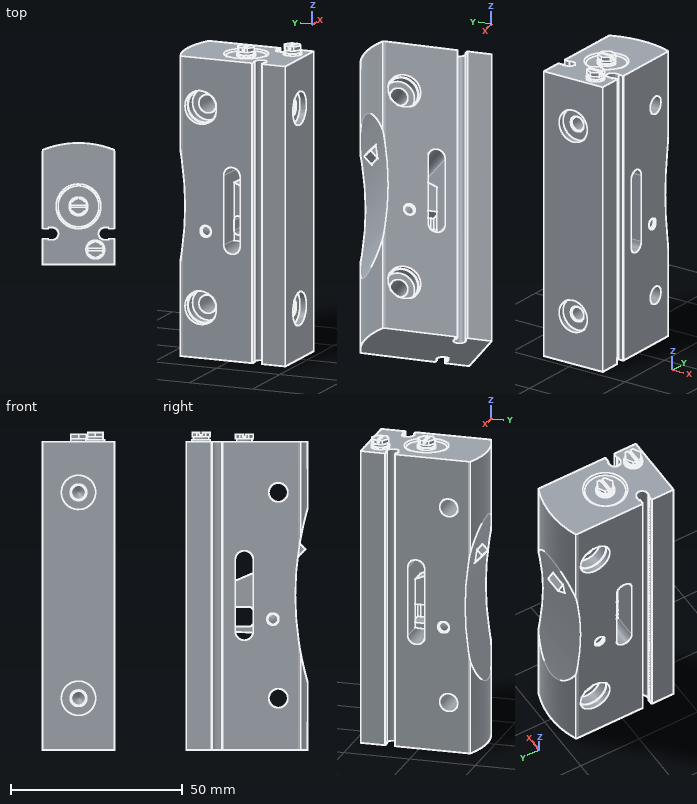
import cadquery as cq
import math

WIDTH = 21.0
DEPTH = 35.4
TOTAL_HEIGHT = 92.5
HALF_WIDTH = WIDTH / 2
CROWN_RISE = 2.0
EDGE_BEVEL_X = 0.1
EDGE_BEVEL_Y = 0.6

RELIEF_DEPTH = 3.6
RELIEF_RADIUS = 90.65
RELIEF_Z = 45.05

GROOVE_Y = 9.0
GROOVE_MOUTH_WIDTH = 2.9
GROOVE_MOUTH_BEVEL = 0.2
GROOVE_MOUTH_DEPTH = 1.8
GROOVE_WIDTH = 3.5
GROOVE_DEPTH = 4.6

HOLE_LEVELS = (15.1, 75.0)
SIDE_HOLE_Y = 26.8
SIDE_HOLE_DIAMETER = 5.5
SIDE_BORE_DIAMETER = 9.5
SIDE_BORE_DEPTH = 5.0
SIDE_MOUTH_DIAMETER = 10.0
SIDE_MOUTH_DEPTH = 1.85

BACK_BORE_DIAMETER = 10.0
BACK_BORE_DEPTH = 2.0
BACK_HOLE_DIAMETER = 4.2
BACK_HOLE_MOUTH = 4.8
BACK_HOLE_DEPTH = 7.4

DRILL_TIP_ANGLE = 118.0

SLOT_Y = 16.9
SLOT_WIDTH = 5.2
SLOT_BOTTOM = 32.0
SLOT_TOP = 58.0

LEVER_THICKNESS = 5.55
TIP_Y = 34.8
TIP_Z = 58.5
TIP_HALF_HEIGHT = 3.0
LEVER_FRONT = 30.9
LEVER_BACK = 13.4
SHOULDER_Y = 28.7
SHOULDER_Z = 55.5
LEVER_BACK_TOP = 48.9
LEVER_FRONT_BOTTOM = 33.6
LEVER_BACK_BOTTOM = 34.4
NOTCH_BOTTOM = 36.0
NOTCH_TOP = 41.6
NOTCH_FRONT = 19.6
NOTCH_FILLET = 1.3
PIVOT_Y = 25.25
PIVOT_Z = 38.1
PIVOT_DIAMETER = 3.0
PIVOT_HOLE_BEVEL = 0.3
PIVOT_INSET = 0.4
PIVOT_DOME_HEIGHT = 0.4

FLANGE_DIAMETER = 5.5
FLANGE_HEIGHT = 0.6
NECK_DIAMETER = 4.5
NECK_HEIGHT = 0.8
HEX_ACROSS_FLATS = 4.5
HEX_HEIGHT = 1.3
DRIVE_SLOT_WIDTH = 0.65
DRIVE_SLOT_DEPTH = 0.7
SCREW_HEIGHT = FLANGE_HEIGHT + NECK_HEIGHT + HEX_HEIGHT
HOUSING_HEIGHT = TOTAL_HEIGHT - SCREW_HEIGHT

RECESS_DEPTH = FLANGE_HEIGHT
RECESS_FLOOR_DIAMETER = 11.9
CENTRE_SCREW_SEAT = (0.0, SLOT_Y, HOUSING_HEIGHT - RECESS_DEPTH)
CORNER_SCREW_SEAT = (4.9, 4.35, HOUSING_HEIGHT)


def x_cylinder(diameter, x_start, length, y, z):
    """Cylinder running toward +X from x_start."""
    return cq.Workplane("YZ", origin=(x_start, y, z)).circle(diameter / 2).extrude(length)


def blind_hole(diameter, mouth, depth):
    """Drilled hole as a solid of revolution: mouth at the origin, running along +Y."""
    radius = diameter / 2
    lead_in = (mouth - diameter) / 2
    tip_length = radius / math.tan(math.radians(DRILL_TIP_ANGLE / 2))
    return (
        cq.Workplane("XY")
        .polyline([
            (0, 0),
            (mouth / 2, 0),
            (radius, lead_in),
            (radius, depth),
            (0, depth + tip_length),
        ])
        .close()
        .revolve(360, (0, 0, 0), (0, 1, 0))
    )


def make_block():
    shoulder_x = HALF_WIDTH - EDGE_BEVEL_X
    shoulder_y = DEPTH - CROWN_RISE
    side_end = shoulder_y - EDGE_BEVEL_Y
    return (
        cq.Workplane("XY")
        .moveTo(-HALF_WIDTH, 0)
        .lineTo(HALF_WIDTH, 0)
        .lineTo(HALF_WIDTH, side_end)
        .lineTo(shoulder_x, shoulder_y)
        .threePointArc((0, DEPTH), (-shoulder_x, shoulder_y))
        .lineTo(-HALF_WIDTH, side_end)
        .close()
        .extrude(HOUSING_HEIGHT)
    )


def make_front_relief():
    axis_y = DEPTH - RELIEF_DEPTH + RELIEF_RADIUS
    return x_cylinder(2 * RELIEF_RADIUS, -HALF_WIDTH, WIDTH, axis_y, RELIEF_Z)


def make_side_groove():
    """Groove in the -X side: narrow mouth, wider round-ended channel behind it."""
    mouth_half = GROOVE_MOUTH_WIDTH / 2
    channel_half = GROOVE_WIDTH / 2
    bevel_x = -HALF_WIDTH + GROOVE_MOUTH_BEVEL
    step_x = -HALF_WIDTH + GROOVE_MOUTH_DEPTH
    end_x = -HALF_WIDTH + GROOVE_DEPTH
    arc_x = end_x - channel_half
    return (
        cq.Workplane("XY")
        .moveTo(-HALF_WIDTH, GROOVE_Y - mouth_half - GROOVE_MOUTH_BEVEL)
        .lineTo(bevel_x, GROOVE_Y - mouth_half)
        .lineTo(step_x, GROOVE_Y - mouth_half)
        .lineTo(step_x, GROOVE_Y - channel_half)
        .lineTo(arc_x, GROOVE_Y - channel_half)
        .threePointArc((end_x, GROOVE_Y), (arc_x, GROOVE_Y + channel_half))
        .lineTo(step_x, GROOVE_Y + channel_half)
        .lineTo(step_x, GROOVE_Y + mouth_half)
        .lineTo(bevel_x, GROOVE_Y + mouth_half)
        .lineTo(-HALF_WIDTH, GROOVE_Y + mouth_half + GROOVE_MOUTH_BEVEL)
        .close()
        .extrude(HOUSING_HEIGHT)
    )


def make_side_hole(z):
    """Through hole along X with a two-step counterbore in the -X side."""
    hole = x_cylinder(SIDE_HOLE_DIAMETER, -HALF_WIDTH, WIDTH, SIDE_HOLE_Y, z)
    bore = x_cylinder(SIDE_BORE_DIAMETER, -HALF_WIDTH, SIDE_BORE_DEPTH, SIDE_HOLE_Y, z)
    mouth = x_cylinder(SIDE_MOUTH_DIAMETER, -HALF_WIDTH, SIDE_MOUTH_DEPTH, SIDE_HOLE_Y, z)
    return hole.union(bore).union(mouth)


def make_back_hole(z):
    """Counterbored blind hole in the back face."""
    bore = cq.Workplane("XZ", origin=(0, 0, z)).circle(BACK_BORE_DIAMETER / 2).extrude(-BACK_BORE_DEPTH)
    hole = blind_hole(BACK_HOLE_DIAMETER, BACK_HOLE_MOUTH, BACK_HOLE_DEPTH)
    return bore.union(hole.translate((0, BACK_BORE_DEPTH, z)))


def make_pivot_hole():
    """Through hole for the pivot pin, bevelled at both ends."""
    radius = PIVOT_DIAMETER / 2
    mouth_radius = radius + PIVOT_HOLE_BEVEL
    bevel_x = HALF_WIDTH - PIVOT_HOLE_BEVEL
    return (
        cq.Workplane("XY")
        .polyline([
            (-HALF_WIDTH, 0),
            (-HALF_WIDTH, mouth_radius),
            (-bevel_x, radius),
            (bevel_x, radius),
            (HALF_WIDTH, mouth_radius),
            (HALF_WIDTH, 0),
        ])
        .close()
        .revolve(360, (0, 0, 0), (1, 0, 0))
        .translate((0, PIVOT_Y, PIVOT_Z))
    )


def make_side_slot():
    length = SLOT_TOP - SLOT_BOTTOM
    middle = (SLOT_TOP + SLOT_BOTTOM) / 2
    return (
        cq.Workplane("YZ", origin=(-HALF_WIDTH, SLOT_Y, middle))
        .slot2D(length, SLOT_WIDTH, 90)
        .extrude(WIDTH)
    )


def make_top_recess():
    """Shallow recess with a 45 degree wall around the centre screw."""
    floor_radius = RECESS_FLOOR_DIAMETER / 2
    return (
        cq.Workplane("XY", origin=CENTRE_SCREW_SEAT)
        .circle(floor_radius)
        .workplane(offset=RECESS_DEPTH)
        .circle(floor_radius + RECESS_DEPTH)
        .loft()
    )


def make_lever_blank():
    """Lever without its notch; the pocket in the housing has this same shape."""
    return (
        cq.Workplane("YZ", origin=(-LEVER_THICKNESS / 2, 0, 0))
        .polyline([
            (TIP_Y, TIP_Z),
            (TIP_Y - TIP_HALF_HEIGHT, TIP_Z + TIP_HALF_HEIGHT),
            (SHOULDER_Y, TIP_Z + TIP_HALF_HEIGHT),
            (SHOULDER_Y, SHOULDER_Z),
            (LEVER_BACK, LEVER_BACK_TOP),
            (LEVER_BACK, LEVER_BACK_BOTTOM),
            (LEVER_FRONT, LEVER_FRONT_BOTTOM),
            (LEVER_FRONT, TIP_Z - (TIP_Y - LEVER_FRONT)),
        ])
        .close()
        .extrude(LEVER_THICKNESS)
    )


def make_pivot_pin():
    """Pin with domed ends, as long as the housing is wide less a small inset."""
    radius = PIVOT_DIAMETER / 2
    dome_top = HALF_WIDTH - PIVOT_INSET
    dome_rim = dome_top - PIVOT_DOME_HEIGHT
    sphere_radius = (radius**2 + PIVOT_DOME_HEIGHT**2) / (2 * PIVOT_DOME_HEIGHT)
    sphere_x = dome_top - sphere_radius
    half_angle = math.asin(radius / sphere_radius) / 2
    mid_x = sphere_x + sphere_radius * math.cos(half_angle)
    mid_r = sphere_radius * math.sin(half_angle)
    return (
        cq.Workplane("XY")
        .moveTo(-dome_top, 0)
        .threePointArc((-mid_x, mid_r), (-dome_rim, radius))
        .lineTo(dome_rim, radius)
        .threePointArc((mid_x, mid_r), (dome_top, 0))
        .close()
        .revolve(360, (0, 0, 0), (1, 0, 0))
        .translate((0, PIVOT_Y, PIVOT_Z))
    )


def make_lever():
    notch_length = NOTCH_FRONT - LEVER_BACK
    notch_height = NOTCH_TOP - NOTCH_BOTTOM
    notch = (
        cq.Workplane("XY")
        .box(LEVER_THICKNESS, notch_length, notch_height, centered=(True, False, False))
        .translate((0, LEVER_BACK, NOTCH_BOTTOM))
        .edges("|X and >Y")
        .fillet(NOTCH_FILLET)
    )
    return make_lever_blank().cut(notch).union(make_pivot_pin())


def make_screw(seat):
    """Flanged hexagon screw standing on its seat, with a drive slot along X."""
    flange = cq.Workplane("XY").circle(FLANGE_DIAMETER / 2).extrude(FLANGE_HEIGHT)
    neck = flange.faces(">Z").workplane().circle(NECK_DIAMETER / 2).extrude(NECK_HEIGHT)
    across_corners = HEX_ACROSS_FLATS / math.cos(math.pi / 6)
    hexagon = (
        cq.Workplane("XY")
        .polygon(6, across_corners)
        .extrude(HEX_HEIGHT)
        .rotate((0, 0, 0), (0, 0, 1), 90)
        .translate((0, 0, FLANGE_HEIGHT + NECK_HEIGHT))
    )
    drive_slot = (
        cq.Workplane("XY")
        .box(across_corners, DRIVE_SLOT_WIDTH, DRIVE_SLOT_DEPTH, centered=(True, True, False))
        .translate((0, 0, SCREW_HEIGHT - DRIVE_SLOT_DEPTH))
    )
    return neck.union(hexagon).cut(drive_slot).translate(seat)


def make_housing():
    groove = make_side_groove()
    housing = make_block().cut(make_front_relief())
    housing = housing.cut(groove).cut(groove.mirror("YZ"))
    for z in HOLE_LEVELS:
        housing = housing.cut(make_side_hole(z)).cut(make_back_hole(z))
    housing = housing.cut(make_pivot_hole()).cut(make_top_recess())
    return housing.cut(make_lever_blank()).cut(make_side_slot())


housing = make_housing()
lever = make_lever()
screws = [make_screw(seat) for seat in (CENTRE_SCREW_SEAT, CORNER_SCREW_SEAT)]

result = cq.Compound.makeCompound([housing.val(), lever.val(), *[screw.val() for screw in screws]])